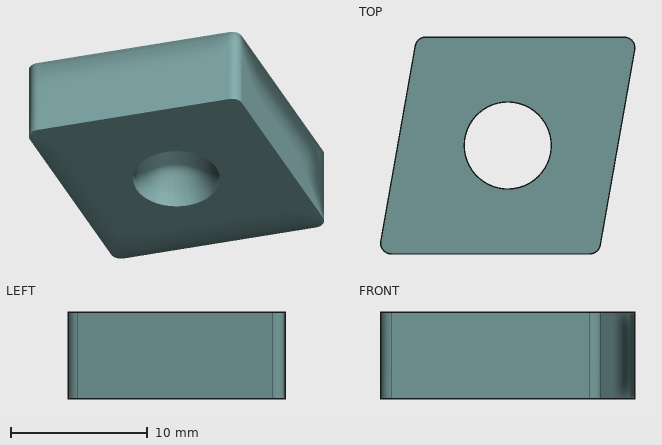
import cadquery as cq
import math

inscribed_diameter = 15.875
thickness = 6.35
hole_diameter = 6.35
corner_radius = 0.8
corner_angle = math.radians(80)

side_length = inscribed_diameter / math.sin(corner_angle)
half_side = side_length / 2
half_height = inscribed_diameter / 2
half_lean = half_height / math.tan(corner_angle)


def make_body():
    """Rhombic prism centred on the Z axis, with all four corners rounded."""
    corners = [
        (-half_side - half_lean, -half_height),
        (half_side - half_lean, -half_height),
        (half_side + half_lean, half_height),
        (-half_side + half_lean, half_height),
    ]
    prism = cq.Workplane("XY").polyline(corners).close().extrude(thickness)
    return prism.edges("|Z").fillet(corner_radius)


def drill_centre_hole(body):
    """Cut the clamping hole straight through the middle."""
    return body.faces(">Z").workplane(origin=(0, 0, thickness)).hole(hole_diameter)


result = drill_centre_hole(make_body())